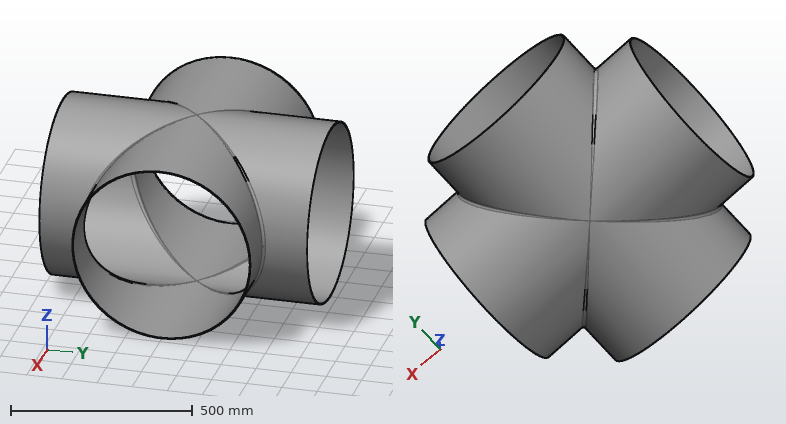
import cadquery as cq

pipe_length = 762.0
outer_diameter = 508.0
inner_diameter = 502.0
outer_corner_radius = 8.0
wall_thickness = (outer_diameter - inner_diameter) / 2
inner_corner_radius = outer_corner_radius + wall_thickness


def rounded_cross(diameter, corner_radius):
    """Two solid cylinders along X and Y, with their elliptical mitre seams filleted."""
    radius = diameter / 2
    along_x = cq.Workplane("YZ").circle(radius).extrude(pipe_length / 2, both=True)
    along_y = cq.Workplane("XZ").circle(radius).extrude(pipe_length / 2, both=True)
    cross = along_x.union(along_y, clean=True)
    return cross.edges("%ELLIPSE").fillet(corner_radius)


outside = rounded_cross(outer_diameter, outer_corner_radius)
bore = rounded_cross(inner_diameter, inner_corner_radius)

result = outside.cut(bore)